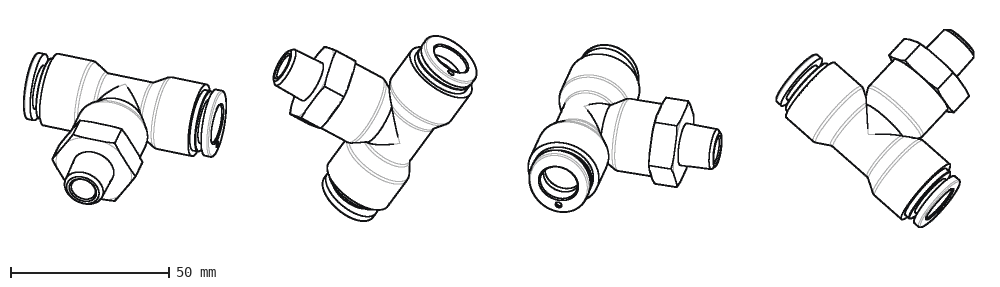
import cadquery as cq
import math


PORT_DIAMETER = 23.2
WAIST_DIAMETER = 17.5
PORT_END = 24.6
BRANCH_END = 24.65
SHOULDER_START = 7.7
SHOULDER_ANGLE = 30.0
SHOULDER_ROUND = 1.85
BORE_DIAMETER = 10.0
SOCKET_DIAMETER = 12.2

COLLAR_DIAMETER = 19.6
COLLAR_LENGTH = 1.85
COLLAR_CHAMFER = 0.2

SLEEVE_END = 30.6
SLEEVE_DIAMETER = 14.2
SOCKET_CHAMFER = 0.4
FLANGE_HEIGHT = 22.6
FLANGE_WIDTH = 19.5
FLANGE_THICKNESS = 2.25
FLANGE_ROUND = 0.4
MARK_DIAMETER = 2.0
MARK_DEPTH = 1.0
MARK_OFFSET = 8.4

HEX_FLATS = 24.0
HEX_LENGTH = 7.95
HEX_FACE_DIAMETER = 25.0
HEX_CHAMFER_LENGTH = 0.35
THREAD_ROOT_DIAMETER = 13.45
THREAD_TIP_DIAMETER = 12.85
THREAD_CHAMFER = 1.05
THREAD_END = 43.7
THREAD_BORE = 8.0
THREAD_BORE_CHAMFER = 0.5

SHOULDER_LENGTH = (PORT_DIAMETER - WAIST_DIAMETER) / 2 / math.tan(math.radians(SHOULDER_ANGLE))
SHOULDER_END = SHOULDER_START + SHOULDER_LENGTH
COLLAR_END = PORT_END + COLLAR_LENGTH
FLANGE_START = SLEEVE_END - FLANGE_THICKNESS
HEX_END = BRANCH_END + HEX_LENGTH
HEX_CORNERS = HEX_FLATS / math.cos(math.pi / 6)


def rod_x(diameter, start, end):
    """Cylinder on the run axis between two X positions."""
    return cq.Workplane("YZ", origin=(start, 0, 0)).circle(diameter / 2).extrude(end - start)


def rod_branch(diameter, start, end):
    """Cylinder on the branch axis between two distances from the origin."""
    return cq.Workplane("XZ", origin=(0, -start, 0)).circle(diameter / 2).extrude(end - start)


def arm_blank(end):
    """Waist, cone and port of one arm reaching to end along +X, with sharp shoulders."""
    outline = [
        (0, 0),
        (0, WAIST_DIAMETER / 2),
        (SHOULDER_START, WAIST_DIAMETER / 2),
        (SHOULDER_END, PORT_DIAMETER / 2),
        (end, PORT_DIAMETER / 2),
        (end, 0),
    ]
    return cq.Workplane("XY").polyline(outline).close().revolve(360, (0, 0, 0), (1, 0, 0))


def shoulder_edges(distance):
    """Selector for the circular edge of an arm at a distance along X."""
    margin = 0.05
    reach = PORT_DIAMETER
    return cq.selectors.BoxSelector(
        (distance - margin, -reach, -reach), (distance + margin, reach, reach), boundingbox=True
    )


def make_housing():
    """Tee body with tube sockets in the run and a bored branch."""
    run_arm = arm_blank(PORT_END).edges(shoulder_edges(SHOULDER_END)).fillet(SHOULDER_ROUND)
    run_arm = run_arm.edges(shoulder_edges(SHOULDER_START)).fillet(SHOULDER_ROUND)
    branch = arm_blank(BRANCH_END).edges(shoulder_edges(SHOULDER_END)).fillet(SHOULDER_ROUND)
    housing = run_arm.union(run_arm.mirror("YZ"))
    housing = housing.union(branch.rotate((0, 0, 0), (0, 0, 1), -90))
    housing = housing.cut(rod_x(BORE_DIAMETER, -PORT_END, PORT_END))
    housing = housing.cut(rod_branch(THREAD_BORE, 0, BRANCH_END))
    socket = rod_x(SOCKET_DIAMETER, SHOULDER_END, PORT_END)
    return housing.cut(socket).cut(socket.mirror("YZ"))


def make_collar():
    """Ring on the +X port face, with the tube socket through it."""
    collar = rod_x(COLLAR_DIAMETER, PORT_END, COLLAR_END)
    collar = collar.faces(">X").edges().chamfer(COLLAR_CHAMFER)
    return collar.cut(rod_x(SOCKET_DIAMETER, PORT_END, COLLAR_END))


def make_sleeve():
    """Release sleeve with an oval flange, on the +X side."""
    flange_plane = cq.Workplane("YZ", origin=(FLANGE_START, 0, 0))
    flange = flange_plane.ellipse(FLANGE_WIDTH / 2, FLANGE_HEIGHT / 2).extrude(FLANGE_THICKNESS)
    flange = flange.faces(">X").edges().fillet(FLANGE_ROUND)
    sleeve = flange.union(rod_x(SLEEVE_DIAMETER, COLLAR_END, FLANGE_START))
    sleeve = sleeve.cut(rod_x(SOCKET_DIAMETER, COLLAR_END, SLEEVE_END))
    sleeve = sleeve.faces(">X").edges("%CIRCLE").chamfer(SOCKET_CHAMFER)
    mark = rod_x(MARK_DIAMETER, SLEEVE_END - MARK_DEPTH, SLEEVE_END)
    return sleeve.cut(mark.translate((0, 0, -MARK_OFFSET)))


def make_adapter():
    """Hexagon with chamfered corners and a tapered, bored thread."""
    hex_plane = cq.Workplane("XZ", origin=(0, -BRANCH_END, 0))
    hexagon = hex_plane.polygon(6, HEX_CORNERS).extrude(HEX_LENGTH)
    corner_trim = [
        (0, -BRANCH_END),
        (HEX_FACE_DIAMETER / 2, -BRANCH_END),
        (HEX_CORNERS / 2, -BRANCH_END - HEX_CHAMFER_LENGTH),
        (HEX_CORNERS / 2, -HEX_END + HEX_CHAMFER_LENGTH),
        (HEX_FACE_DIAMETER / 2, -HEX_END),
        (0, -HEX_END),
    ]
    trim = cq.Workplane("XY").polyline(corner_trim).close().revolve(360, (0, 0, 0), (0, 1, 0))
    thread_outline = [
        (0, -HEX_END),
        (THREAD_ROOT_DIAMETER / 2, -HEX_END),
        (THREAD_TIP_DIAMETER / 2, -THREAD_END + THREAD_CHAMFER),
        (THREAD_TIP_DIAMETER / 2 - THREAD_CHAMFER, -THREAD_END),
        (0, -THREAD_END),
    ]
    thread = cq.Workplane("XY").polyline(thread_outline).close().revolve(360, (0, 0, 0), (0, 1, 0))
    adapter = hexagon.intersect(trim).union(thread)
    adapter = adapter.cut(rod_branch(THREAD_BORE, BRANCH_END, THREAD_END))
    tip_bore_edge = adapter.faces("<Y").edges(cq.selectors.RadiusNthSelector(0))
    return tip_bore_edge.chamfer(THREAD_BORE_CHAMFER)


housing = make_housing()
adapter = make_adapter()
collars = []
sleeves = []
for side_angle in (0, 180):
    collars.append(make_collar().rotate((0, 0, 0), (0, 0, 1), side_angle))
    sleeves.append(make_sleeve().rotate((0, 0, 0), (0, 0, 1), side_angle))

end_bodies = [body.val() for body in collars + sleeves]
result = cq.Compound.makeCompound([housing.val(), adapter.val(), *end_bodies])